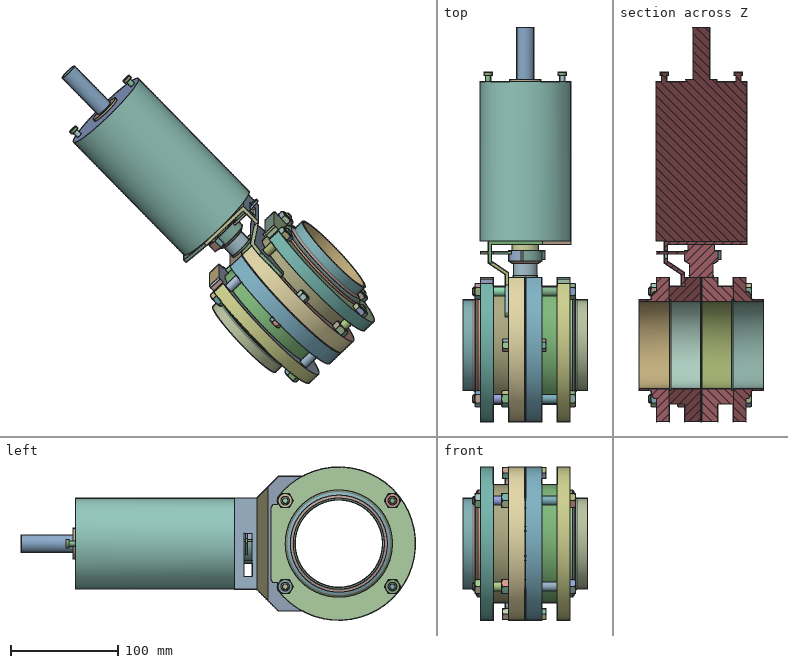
import cadquery as cq
import math


tube_end = 58.0
tube_shoulder = 49.0
tube_diameter = 85.0
bore_diameter = 81.0
fillet_end = 46.5
fillet_diameter = 90.5
fillet_sag = 0.7
cone_end = 45.0
cone_diameter = 97.0
collar_chamfer_end = 44.0
collar_diameter = 100.0
flange_outer_face = 42.0
flange_inner_face = 29.7
flange_diameter = 143.0
flat_y = 63.0
notch_y = 57.3
tongue_half_width = 36.5
tongue_fillet = 2.0

half_face = 15.5
half_gap = 0.7
hub_diameter = 110.0
seat_diameter = 84.5
seat_depth = 1.5

tie_bolt_y = 50.0
tie_bolt_z = 40.0
tie_rod_diameter = 8.5
tie_hex_flats = 13.2
tie_hex_height = 5.0
tie_tip_diameter = 8.0
tie_tip_length = 2.2
tie_tip_chamfer = 1.5
inner_nut_height = 6.5

short_bolt_z = 65.7
short_hex_flats = 10.3
short_nut_height = 6.0
short_head_height = 4.0

sheet = 3.3
leg_x = -34.5
foot_x = -half_face - sheet
plate_half_width = 42.5
plate_end_x = 42.5
plate_taper_x = 16.0
plate_taper_half_width = 29.0
plate_top = 97.0
upper_bend_y = 76.5
lower_bend_y = 65.7
foot_half_width = 62.8
foot_end_y = 26.5
foot_fillet = 3.5
window_bottom = 80.8
window_top = 88.0
window_low_z = -30.5
window_high_z = 9.5

actuator_diameter = 85.0
actuator_end = 245.5
rod_diameter = 16.0
rod_end = 367.3 - flange_diameter / 2
seal_diameter = 29.0
seal_height = 2.2
screw_x = 34.5
screw_shank_diameter = 5.0
screw_length = 8.8
screw_head_diameter = 8.0
screw_head_height = 3.0

stem_diameter = 22.0
stem_foot_diameter = 22.8
stem_foot_height = 2.0
clamp_diameter = 31.5
clamp_bottom = 78.5
clamp_top = 88.0
clamp_cone_y = 76.0
clamp_cone_diameter = 24.2
neck_diameter = 25.0
slit_offset = 3.0
slit_width = 2.0
slit_depth = 2.2
lug_reach = 20.5
lug_width = 11.0
lug_bottom = 79.7
pointer_top = 87.0
pointer_thickness = 2.2
pointer_root_x = -29.5
pointer_root_low_z = -10.3
pointer_tip_x = -42.0
pointer_tip_low_z = 0.5
pointer_tip_high_z = 4.8

beyond = 183.5

LEFT = -1
RIGHT = 1
X_AXIS = ((0, 0, 0), (1, 0, 0))
Y_AXIS = ((0, 0, 0), (0, 1, 0))
tie_bolt_places = [(y, z) for y in (-tie_bolt_y, tie_bolt_y) for z in (-tie_bolt_z, tie_bolt_z)]


def cylinder_x(diameter, start, end, y=0, z=0):
    return cq.Workplane("YZ", origin=(start, y, z)).circle(diameter / 2).extrude(end - start)


def cylinder_y(diameter, start, end, x=0):
    return cq.Workplane("XZ", origin=(x, start, 0)).circle(diameter / 2).extrude(start - end)


def block(x_range, y_range, z_range):
    sizes = [high - low for low, high in (x_range, y_range, z_range)]
    return cq.Workplane("XY", origin=(x_range[0], y_range[0], z_range[0])).box(*sizes, centered=False)


def hexagon(flats, face, height, y, z, side):
    """Hexagon nut or head standing on the plane x = side * face, its outer corners chamfered."""
    corners = flats / math.cos(math.pi / 6)
    chamfer = (corners - flats) / 2
    start = side * face
    end = side * (face + height)
    prism = cq.Workplane("YZ", origin=(start, y, z)).polygon(6, corners).extrude(end - start)
    turned = cylinder_x(corners, start, end, y, z)
    turned = turned.faces("<X" if side == LEFT else ">X").chamfer(chamfer)
    return prism.intersect(turned)


def make_welding_flange(side):
    fillet_middle = (
        (tube_shoulder + fillet_end) / 2 - fillet_sag,
        (tube_diameter + fillet_diameter) / 4 - fillet_sag,
    )
    flange = (
        cq.Workplane("XY")
        .moveTo(tube_end, bore_diameter / 2)
        .lineTo(tube_end, tube_diameter / 2)
        .lineTo(tube_shoulder, tube_diameter / 2)
        .threePointArc(fillet_middle, (fillet_end, fillet_diameter / 2))
        .lineTo(cone_end, cone_diameter / 2)
        .lineTo(collar_chamfer_end, collar_diameter / 2)
        .lineTo(flange_outer_face, collar_diameter / 2)
        .lineTo(flange_outer_face, flange_diameter / 2)
        .lineTo(flange_inner_face, flange_diameter / 2)
        .lineTo(flange_inner_face, bore_diameter / 2)
        .close()
        .revolve(360, *X_AXIS)
    )

    tongue = block((0, beyond), (0, flat_y), (-tongue_half_width, tongue_half_width))
    tongue = tongue.edges("|X and >Y").fillet(tongue_fillet)
    waste = block((0, beyond), (notch_y, beyond), (-beyond, beyond)).cut(tongue)
    flange = flange.cut(waste)
    if side == LEFT:
        flange = flange.mirror("YZ")

    for y, z in tie_bolt_places:
        flange = flange.union(hexagon(tie_hex_flats, flange_outer_face, tie_hex_height, y, z, side))
        if side == LEFT:
            nut_end = -flange_outer_face - tie_hex_height
            tip = cylinder_x(tie_tip_diameter, nut_end, nut_end - tie_tip_length, y, z)
            flange = flange.union(tip.faces("<X").chamfer(tie_tip_chamfer))
    return flange


def make_body_half(side):
    inner = side * half_gap / 2
    face = side * half_face
    hub_end = side * flange_inner_face

    half = cylinder_x(flange_diameter, inner, face)
    half = half.cut(block((-beyond, beyond), (flat_y, beyond), (-beyond, beyond)))
    half = half.union(cylinder_x(hub_diameter, inner, hub_end))
    half = half.cut(cylinder_x(bore_diameter, inner, hub_end))
    half = half.cut(cylinder_x(seat_diameter, hub_end - side * seat_depth, hub_end))

    for y, z in tie_bolt_places:
        half = half.union(cylinder_x(tie_rod_diameter, face, hub_end, y, z))
    if side == LEFT:
        for z in (-tie_bolt_z, tie_bolt_z):
            half = half.union(hexagon(tie_hex_flats, half_face, inner_nut_height, -tie_bolt_y, z, side))

    short_height = short_nut_height if side == LEFT else short_head_height
    for z in (-short_bolt_z, short_bolt_z):
        half = half.union(hexagon(short_hex_flats, half_face, short_height, 0, z, side))
    return half


def make_bracket():
    bend_angle = math.atan2(foot_x - leg_x, upper_bend_y - lower_bend_y)
    bend_shift = sheet * math.tan(bend_angle / 2)
    sheet_profile = [
        (plate_end_x, plate_top),
        (leg_x, plate_top),
        (leg_x, upper_bend_y),
        (foot_x, lower_bend_y),
        (foot_x, foot_end_y),
        (foot_x + sheet, foot_end_y),
        (foot_x + sheet, lower_bend_y + bend_shift),
        (leg_x + sheet, upper_bend_y + bend_shift),
        (leg_x + sheet, plate_top - sheet),
        (plate_end_x, plate_top - sheet),
    ]
    bracket = cq.Workplane("XY").polyline(sheet_profile).close().extrude(foot_half_width, both=True)

    flare_end_y = upper_bend_y - (foot_half_width - plate_half_width)
    outline = (
        cq.Workplane("YZ")
        .moveTo(plate_top, 0)
        .lineTo(plate_top, plate_half_width)
        .lineTo(upper_bend_y, plate_half_width)
        .lineTo(flare_end_y, foot_half_width)
        .lineTo(foot_end_y, foot_half_width)
        .lineTo(foot_end_y, 0)
        .mirrorX()
        .extrude(beyond, both=True)
    )
    bracket = bracket.intersect(outline.edges("|X and <Y").fillet(foot_fillet))

    for z_sign in (-1, 1):
        corner = [
            (plate_taper_x, z_sign * plate_half_width),
            (plate_end_x, z_sign * plate_half_width),
            (plate_end_x, z_sign * plate_taper_half_width),
        ]
        corner_cut = cq.Workplane("XZ").polyline(corner).close().extrude(-beyond)
        bracket = bracket.cut(corner_cut)

    bracket = bracket.cut(
        block((leg_x - sheet, leg_x + 2 * sheet), (window_bottom, window_top), (window_low_z, window_high_z))
    )

    bracket = bracket.cut(cylinder_x(hub_diameter, foot_x - sheet, -half_face))
    for z in (-tie_bolt_z, tie_bolt_z):
        bracket = bracket.cut(cylinder_x(tie_rod_diameter, foot_x - sheet, -half_face, tie_bolt_y, z))
    return bracket


def make_actuator():
    actuator = cylinder_y(actuator_diameter, plate_top, actuator_end)
    actuator = actuator.union(cylinder_y(seal_diameter, actuator_end, actuator_end + seal_height))
    actuator = actuator.union(cylinder_y(rod_diameter, actuator_end, rod_end))
    screw_end = actuator_end + screw_length
    for x in (-screw_x, screw_x):
        actuator = actuator.union(cylinder_y(screw_shank_diameter, actuator_end, screw_end, x))
        head = cylinder_y(screw_head_diameter, screw_end - screw_head_height, screw_end, x)
        actuator = actuator.union(head)
    return actuator


def make_coupling():
    stem_foot_top = flat_y + stem_foot_height
    neck_top = plate_top - sheet
    coupling = (
        cq.Workplane("XY")
        .moveTo(0, flat_y)
        .lineTo(stem_foot_diameter / 2, flat_y)
        .lineTo(stem_foot_diameter / 2, stem_foot_top)
        .lineTo(stem_diameter / 2, stem_foot_top)
        .lineTo(stem_diameter / 2, clamp_cone_y)
        .lineTo(clamp_cone_diameter / 2, clamp_cone_y)
        .lineTo(clamp_diameter / 2, clamp_bottom)
        .lineTo(clamp_diameter / 2, clamp_top)
        .lineTo(neck_diameter / 2, clamp_top)
        .lineTo(neck_diameter / 2, neck_top)
        .lineTo(0, neck_top)
        .close()
        .revolve(360, *Y_AXIS)
    )

    lug = block((0, lug_reach), (lug_bottom, clamp_top), (-lug_width / 2, lug_width / 2))
    coupling = coupling.union(lug.rotate(*Y_AXIS, 45))

    slit_floor = clamp_diameter / 2 - slit_depth
    near = slit_offset - slit_width / 2
    far = slit_offset + slit_width / 2
    clamp_height = (clamp_bottom, clamp_top)
    coupling = coupling.cut(block((-far, -near), clamp_height, (slit_floor, beyond)))
    coupling = coupling.cut(block((-beyond, -slit_floor), clamp_height, (near, far)))

    pointer_outline = [
        (0, pointer_root_low_z),
        (0, window_high_z),
        (pointer_root_x, window_high_z),
        (pointer_tip_x, pointer_tip_high_z),
        (pointer_tip_x, pointer_tip_low_z),
        (pointer_root_x, pointer_root_low_z),
    ]
    pointer = cq.Workplane("XZ", origin=(0, pointer_top, 0)).polyline(pointer_outline).close()
    return coupling.union(pointer.extrude(pointer_thickness))


flanges = [make_welding_flange(side) for side in (LEFT, RIGHT)]
halves = [make_body_half(side) for side in (LEFT, RIGHT)]
bracket = make_bracket()
actuator = make_actuator()
coupling = make_coupling()

bodies = [*flanges, *halves, bracket, actuator, coupling]
result = cq.Compound.makeCompound([body.val() for body in bodies])